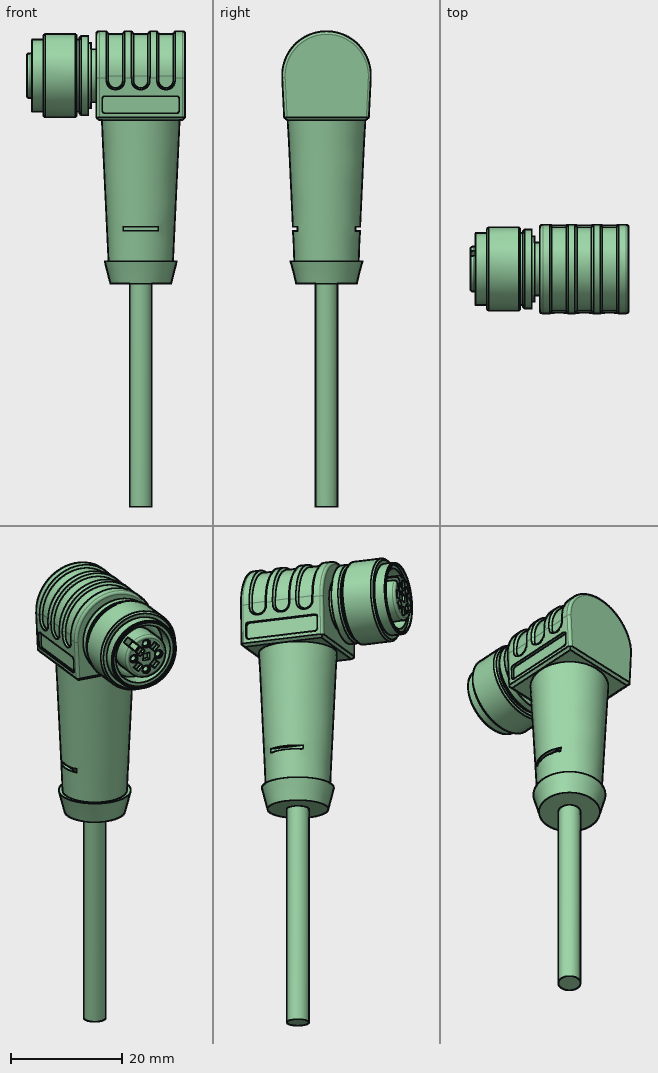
import cadquery as cq
import math


overall_length = 28.5
overall_height = 85.5

body_size = 16.0
body_radius = body_size / 2
flank_top_z = -0.3
underside_half_width = 7.6
end_edge_radius = 0.5
underside_chamfer = 0.5

groove_pitch = 4.5
groove_floor_radius = 7.5
groove_floor_width = 2.6
groove_top_width = 3.3
groove_end_z = -0.9
groove_cutter_clearance = 0.85

label_length = 13.85
label_height = 3.1
label_center_z = -5.2
label_corner_radius = 0.5
label_floor_y = 7.3

boot_top_radius = 7.0
boot_bottom_radius = 5.8
boot_bottom_z = -33.3
collar_top_radius = 6.5
collar_bottom_radius = 5.5
collar_bottom_z = -37.35
cable_diameter = 4.0
cable_end_z = body_radius - overall_height
strain_slot_center_z = -27.5
strain_slot_height = 0.7
strain_slot_floor_y = 5.2

nose_x = body_radius - overall_length
nose_diameter = 8.1
nose_edge_radius = 0.5
nose_projection = 0.85
sleeve_x = nose_x + nose_projection
sleeve_diameter = 13.0
nut_front_x = -17.5
nut_back_x = -11.45
nut_diameter = 15.0
ring_front_x = -11.0
ring_back_x = -9.4
ring_diameter = 14.3
washer_back_x = -8.9
washer_diameter = 11.8
neck_diameter = 9.6
sleeve_chamfer = 0.2
rim_chamfer = 0.3

chamber_mouth_diameter = 12.3
chamber_mouth_depth = 0.5
chamber_diameter = 10.9
chamber_depth = 4.3
seal_section_radius = 0.8

contact_count = 4
contact_circle_radius = 2.5
contact_mouth_diameter = 1.5
contact_mouth_depth = 0.4
contact_bore_diameter = 1.1
contact_bore_depth = 2.6
face_pocket_depth = 0.85
center_pocket_width = 1.3
diagonal_pocket_width = 1.3
diagonal_pocket_radius = 2.3
key_side_pocket_radius = 1.7
key_angle = 45
key_width = 1.2
key_floor_radius = 2.65
key_depth = 2.6


def x_cylinder(diameter, x_start, x_end):
    """Cylinder around the X axis."""
    return cq.Workplane("YZ", origin=(x_start, 0, 0)).circle(diameter / 2).extrude(x_end - x_start)


def make_body():
    """Round-topped block with rounded ends and a chamfered underside."""
    flank_y = math.sqrt(body_radius**2 - flank_top_z**2)
    section = (
        cq.Workplane("YZ", origin=(-body_radius, 0, 0))
        .moveTo(-underside_half_width, -body_radius)
        .lineTo(underside_half_width, -body_radius)
        .lineTo(flank_y, flank_top_z)
        .threePointArc((0, body_radius), (-flank_y, flank_top_z))
        .close()
    )
    body = section.extrude(body_size)
    body = body.faces("<Z").edges().chamfer(underside_chamfer)
    return body.faces("<X or >X").edges("not(<Z)").fillet(end_edge_radius)


def make_groove(center_x):
    """Tapered groove over the round top, with a rounded end on both flanks."""
    floor_half = groove_floor_width / 2
    top_half = groove_top_width / 2
    wall_slope = (top_half - floor_half) / (body_radius - groove_floor_radius)
    outer_radius = body_radius + groove_cutter_clearance
    cutter_depth = outer_radius - groove_floor_radius
    outer_half = floor_half + wall_slope * cutter_depth

    def profile():
        return cq.Workplane("XY", origin=(center_x, 0, 0)).polyline([
            (-floor_half, groove_floor_radius),
            (floor_half, groove_floor_radius),
            (outer_half, outer_radius),
            (-outer_half, outer_radius),
        ]).close()

    groove = profile().revolve(180, (0, 0, 0), (1, 0, 0))
    straight = profile().extrude(groove_end_z)
    groove = groove.union(straight).union(straight.mirror("XZ"))
    for side in (-1, 1):
        end_center = cq.Vector(center_x, side * groove_floor_radius, groove_end_z)
        end_axis = cq.Vector(0, side, 0)
        end = cq.Solid.makeCone(floor_half, outer_half, cutter_depth, end_center, end_axis)
        groove = groove.union(cq.Workplane(end))
    return groove


def make_label_recess(side):
    """Rounded rectangular cutter for the flank on the given side."""
    recess = cq.Workplane("XZ").rect(label_length, label_height).extrude(-0.85)
    recess = recess.edges("|Y").fillet(label_corner_radius).translate((0, label_floor_y, label_center_z))
    return recess if side > 0 else recess.mirror("XZ")


def make_boot():
    """Tapered boot with its collar and cable, slotted on both sides for strain relief."""
    boot = (
        cq.Workplane("XZ")
        .polyline([
            (0, 0),
            (boot_top_radius, 0),
            (boot_top_radius, -body_radius),
            (boot_bottom_radius, boot_bottom_z),
            (collar_top_radius, boot_bottom_z),
            (collar_bottom_radius, collar_bottom_z),
            (cable_diameter / 2, collar_bottom_z),
            (cable_diameter / 2, cable_end_z),
            (0, cable_end_z),
        ])
        .close()
        .revolve(360, (0, 0, 0), (0, 1, 0))
    )
    slot_depth = boot_top_radius - strain_slot_floor_y
    for side in (-1, 1):
        slot = cq.Workplane().box(body_size, slot_depth, strain_slot_height)
        slot_y = side * (strain_slot_floor_y + slot_depth / 2)
        boot = boot.cut(slot.translate((0, slot_y, strain_slot_center_z)))
    return boot


def make_plug():
    """Sleeve, nut, ring, washer and neck, with the nose and seal inside the sleeve."""
    sleeve = x_cylinder(sleeve_diameter, sleeve_x, ring_front_x).faces("<X").chamfer(sleeve_chamfer)
    nut = x_cylinder(nut_diameter, nut_front_x, nut_back_x).faces("<X or >X").chamfer(rim_chamfer)
    ring = x_cylinder(ring_diameter, ring_front_x, ring_back_x).faces("<X").chamfer(rim_chamfer)
    washer = x_cylinder(washer_diameter, ring_back_x, washer_back_x)
    neck = x_cylinder(neck_diameter, washer_back_x, 0)
    plug = sleeve.union(nut).union(ring).union(washer).union(neck)

    chamber_floor_x = sleeve_x + chamber_depth
    plug = plug.cut(x_cylinder(chamber_diameter, sleeve_x, chamber_floor_x))
    plug = plug.cut(x_cylinder(chamber_mouth_diameter, sleeve_x, sleeve_x + chamber_mouth_depth))
    nose = x_cylinder(nose_diameter, nose_x, chamber_floor_x).faces("<X").edges().fillet(nose_edge_radius)
    seal_radius = (nose_diameter + chamber_diameter) / 4
    seal_x = chamber_floor_x - seal_section_radius / 2
    seal = cq.Workplane(
        cq.Solid.makeTorus(seal_radius, seal_section_radius, cq.Vector(seal_x, 0, 0), cq.Vector(1, 0, 0))
    )
    return plug.union(nose).union(seal)


def cut_contact_face(part):
    """Contact holes, pockets between them, and the coding keyway on the nose."""
    face = cq.Workplane("YZ", origin=(nose_x, 0, 0))
    contacts = face.polarArray(contact_circle_radius, 0, 360, contact_count)
    mouths = contacts.circle(contact_mouth_diameter / 2).extrude(contact_mouth_depth)
    contacts = face.polarArray(contact_circle_radius, 0, 360, contact_count)
    bores = contacts.circle(contact_bore_diameter / 2).extrude(contact_bore_depth)
    center = face.rect(center_pocket_width, center_pocket_width).extrude(face_pocket_depth)
    part = part.cut(mouths).cut(bores).cut(center)

    for index in range(contact_count):
        pocket_radius = key_side_pocket_radius if index == 0 else diagonal_pocket_radius
        pocket = (
            face.center(pocket_radius, 0)
            .rect(diagonal_pocket_width, diagonal_pocket_width)
            .extrude(face_pocket_depth)
        )
        angle = key_angle + index * 360 / contact_count
        part = part.cut(pocket.rotate((0, 0, 0), (1, 0, 0), angle))

    key_length = nose_diameter / 2 - key_floor_radius
    keyway = face.center(key_floor_radius + key_length / 2, 0).rect(key_length, key_width).extrude(key_depth)
    return part.cut(keyway.rotate((0, 0, 0), (1, 0, 0), key_angle))


body = make_body()
for index in (-1, 0, 1):
    body = body.cut(make_groove(index * groove_pitch))
for side in (-1, 1):
    body = body.cut(make_label_recess(side))

result = cut_contact_face(body.union(make_boot()).union(make_plug()))